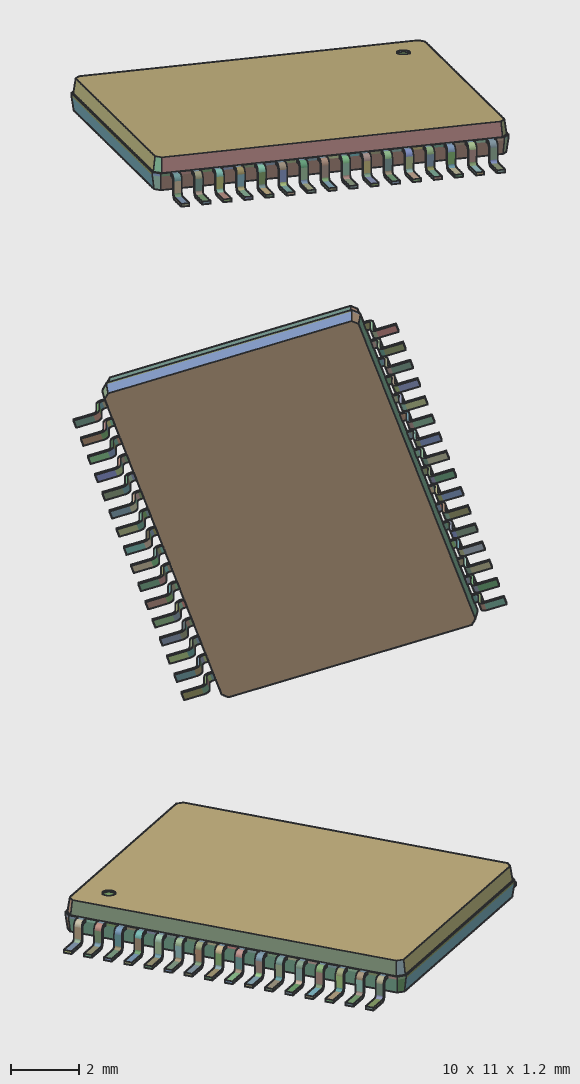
import cadquery as cq
body_width = 8.0
body_length = 11.0
corner_chamfer = 0.2
overall_height = 1.2
standoff = 0.2
taper_angle = 8.0
upper_step = 0.04

lead_span = 10.0
lead_thickness = 0.094
lead_width = 0.25
lead_top = 0.74
bend_inner_radius = 0.09
bend_outer_radius = bend_inner_radius + lead_thickness
shank_offset = 0.7
lead_embed = 0.22
leads_per_side = 16
first_to_last_lead = 9.75
lead_pitch = first_to_last_lead / (leads_per_side - 1)

mark_diameter = 0.4
mark_depth = 0.05
mark_inset = 1.02

band_bottom = lead_top - lead_thickness


def chamfered_slab(base, height, taper=0.0, inset=0.0):
    """Extrude the body outline, moved inward by inset, from base; a negative height goes down."""
    return (
        cq.Workplane("XY", origin=(0, 0, base))
        .sketch()
        .rect(body_width - 2 * inset, body_length - 2 * inset)
        .vertices()
        .chamfer(corner_chamfer)
        .finalize()
        .extrude(height, taper=taper)
    )


def make_body():
    band = chamfered_slab(band_bottom, lead_thickness)
    upper_half = chamfered_slab(lead_top, overall_height - lead_top, taper_angle, upper_step)
    lower_half = chamfered_slab(band_bottom, standoff - band_bottom, taper_angle)
    return band.union(upper_half).union(lower_half)


def make_left_lead():
    """Lead on the -X side, centred on Y = 0, as a strip of constant thickness."""
    tip_x = -lead_span / 2
    shank_outer_x = tip_x + shank_offset
    shank_inner_x = shank_outer_x + lead_thickness
    foot_end_x = shank_inner_x - bend_outer_radius
    shoulder_x = shank_outer_x + bend_outer_radius
    lower_bend_z = bend_outer_radius
    upper_bend_z = lead_top - bend_outer_radius
    root_x = -body_width / 2 + lead_embed
    return (
        cq.Workplane("XZ")
        .moveTo(tip_x, 0)
        .lineTo(foot_end_x, 0)
        .radiusArc((shank_inner_x, lower_bend_z), -bend_outer_radius)
        .lineTo(shank_inner_x, upper_bend_z)
        .radiusArc((shoulder_x, band_bottom), bend_inner_radius)
        .lineTo(root_x, band_bottom)
        .lineTo(root_x, lead_top)
        .lineTo(shoulder_x, lead_top)
        .radiusArc((shank_outer_x, upper_bend_z), -bend_outer_radius)
        .lineTo(shank_outer_x, lower_bend_z)
        .radiusArc((foot_end_x, lead_thickness), bend_inner_radius)
        .lineTo(tip_x, lead_thickness)
        .close()
        .extrude(lead_width / 2, both=True)
    )


def add_leads(body):
    left_lead = make_left_lead()
    right_lead = left_lead.mirror("YZ")
    for index in range(leads_per_side):
        lead_y = index * lead_pitch - first_to_last_lead / 2
        for lead in (left_lead, right_lead):
            body = body.union(lead.translate((0, lead_y, 0)))
    return body


def cut_pin_one_mark(body):
    mark_x = mark_inset - body_width / 2
    mark_y = body_length / 2 - mark_inset
    mark = (
        cq.Workplane("XY", origin=(mark_x, mark_y, overall_height - mark_depth))
        .circle(mark_diameter / 2)
        .extrude(mark_depth)
    )
    return body.cut(mark)


result = cut_pin_one_mark(add_leads(make_body()))